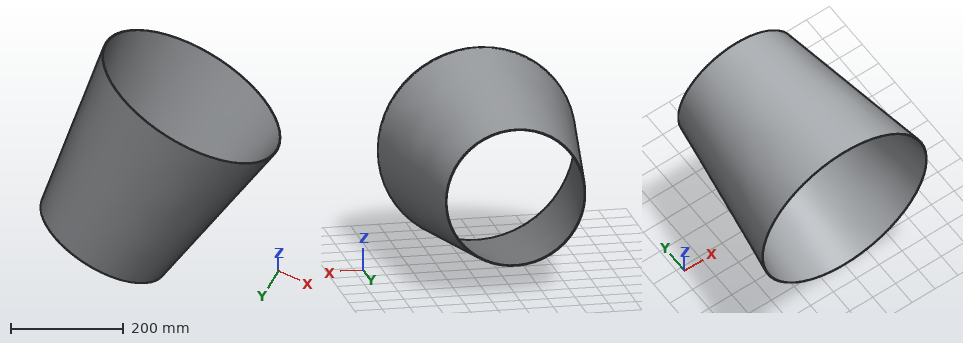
import cadquery as cq

large_diameter = 360.0
small_diameter = 254.0
wall_thickness = 2.0
length = 330.0

large_radius = large_diameter / 2
small_radius = small_diameter / 2


def conical_shell():
    """Revolve the sloping wall section around the Y axis."""
    wall_section = (
        cq.Workplane("XY")
        .moveTo(large_radius - wall_thickness, 0)
        .lineTo(large_radius, 0)
        .lineTo(small_radius, length)
        .lineTo(small_radius - wall_thickness, length)
        .close()
    )
    return wall_section.revolve(360, (0, 0, 0), (0, 1, 0))


result = conical_shell()